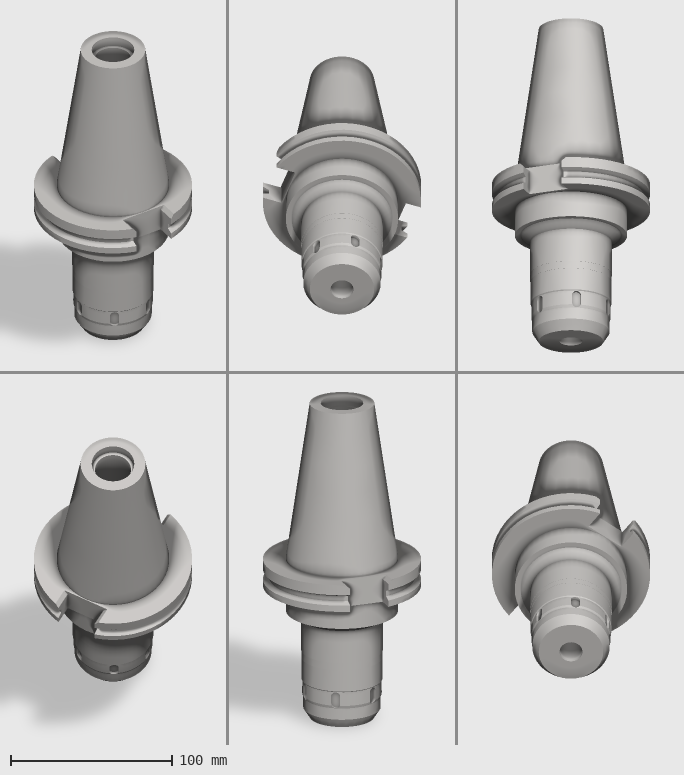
import cadquery as cq

total_height = 206.5
nose_chamfer_top = 6.2
slot_band_bottom = 13.6
slot_band_chamfer_top = 15.5
slot_band_top = 24.5
nut_collar_bottom = 25.2
nut_top = 39.3
body_end_top = 44.0
body_top = 65.3
shoulder_bottom = 70.0
flange_bottom = 86.4
flange_top = 104.0
gauge_height = 105.0

nose_diameter = 40.0
nut_lower_diameter = 48.1
slot_band_diameter = 49.4
nut_collar_diameter = 50.5
body_end_diameter = 50.6
body_diameter = 50.8
shoulder_cone_diameter = 62.4
gauge_diameter = 69.8
flange_diameter = 98.3
taper_ratio = 7 / 24
small_end_diameter = gauge_diameter - taper_ratio * (total_height - gauge_height)

groove_diameter = 91.1
groove_floor_bottom = 92.1
groove_floor_top = 95.7
groove_flank_rise = 1.7

keyway_width = 25.5
left_keyway_floor = 37.5
right_keyway_floor = 35.3
keyway_chamfer = 2.5

socket_diameter = 26.5
socket_depth = 6.5
thread_bore_diameter = 22.3
thread_bore_depth = 41.3
through_bore_diameter = 14.3

slot_count = 6
slot_width = 5.5
slot_bottom = 13.8
slot_top = 24.4
slot_floor_distance = 22.5


def revolved_body():
    """Turned outside shape, revolved about Z."""
    diameters_and_heights = [
        (nose_diameter, 0),
        (nut_lower_diameter, nose_chamfer_top),
        (nut_lower_diameter, slot_band_bottom),
        (slot_band_diameter, slot_band_chamfer_top),
        (slot_band_diameter, slot_band_top),
        (nut_collar_diameter, nut_collar_bottom),
        (nut_collar_diameter, nut_top),
        (body_end_diameter, nut_top),
        (body_end_diameter, body_end_top),
        (body_diameter, body_end_top),
        (body_diameter, body_top),
        (shoulder_cone_diameter, shoulder_bottom),
        (gauge_diameter, shoulder_bottom),
        (gauge_diameter, flange_bottom),
        (flange_diameter, flange_bottom),
        (flange_diameter, groove_floor_bottom - groove_flank_rise),
        (groove_diameter, groove_floor_bottom),
        (groove_diameter, groove_floor_top),
        (flange_diameter, groove_floor_top + groove_flank_rise),
        (flange_diameter, flange_top),
        (gauge_diameter, flange_top),
        (gauge_diameter, gauge_height),
        (small_end_diameter, total_height),
    ]
    outline = [(diameter / 2, height) for diameter, height in diameters_and_heights]
    return (
        cq.Workplane("XZ")
        .polyline([(0, 0), *outline, (0, total_height)])
        .close()
        .revolve(360, (0, 0), (0, 1))
    )


def stepped_bore():
    """Pull-stud socket, thread bore and through hole along the axis."""
    through_hole = cq.Workplane("XY").circle(through_bore_diameter / 2).extrude(total_height)
    top_plane = cq.Workplane("XY").workplane(offset=total_height)
    socket = top_plane.circle(socket_diameter / 2).extrude(-socket_depth)
    thread_bore = top_plane.circle(thread_bore_diameter / 2).extrude(-thread_bore_depth)
    return through_hole.union(thread_bore).union(socket)


def keyway(floor_distance):
    """Flat-floored keyway on the +X side, widened by a chamfer at the flange top."""
    half_width = keyway_width / 2
    mouth_half_width = half_width + keyway_chamfer
    chamfer_start = flange_top - keyway_chamfer
    return (
        cq.Workplane("YZ")
        .workplane(offset=floor_distance)
        .polyline([
            (-half_width, flange_bottom),
            (half_width, flange_bottom),
            (half_width, chamfer_start),
            (mouth_half_width, flange_top),
            (-mouth_half_width, flange_top),
            (-half_width, chamfer_start),
        ])
        .close()
        .extrude(flange_diameter / 2 - floor_distance)
    )


def spanner_slot():
    """Upright round-ended slot with a flat floor, cut from the -Y side."""
    return (
        cq.Workplane("XZ")
        .workplane(offset=slot_floor_distance)
        .center(0, (slot_bottom + slot_top) / 2)
        .slot2D(slot_top - slot_bottom, slot_width, 90)
        .extrude(nut_collar_diameter / 2 - slot_floor_distance)
    )


result = revolved_body().cut(stepped_bore())

result = result.cut(keyway(right_keyway_floor))
result = result.cut(keyway(left_keyway_floor).mirror("YZ"))

for index in range(slot_count):
    result = result.cut(spanner_slot().rotate((0, 0, 0), (0, 0, 1), index * 360 / slot_count))